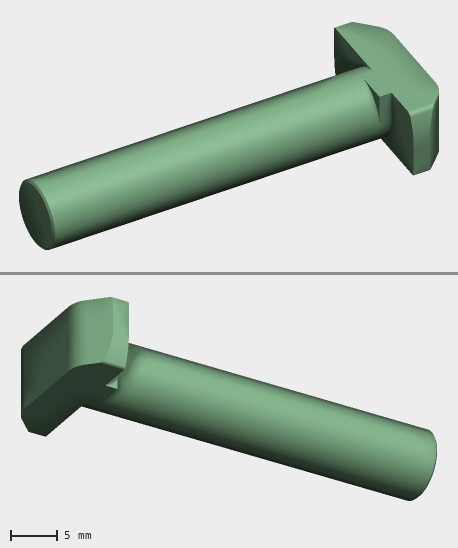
import cadquery as cq
import math

total_length = 46.5
head_width = 18.0
shaft_diameter = 8.0
head_thickness = 5.0
side_height = 2.0
shoulder_radius = 3.0
neck_length = 1.5
end_chamfer = 0.25
square_corner_radius = 0.25
right_swept_radius = 0.7
left_swept_radius = 0.35
left_arc_drop = 0.15

half_width = head_width / 2
shaft_radius = shaft_diameter / 2
shaft_length = total_length - head_thickness


def swept_arc(side):
    """Start, middle and end points of the swept corner on one side (1: +X+Z, -1: -X-Z)."""
    arc_rise = shaft_radius - (left_arc_drop if side < 0 else 0)
    start_z = side * (shaft_radius - arc_rise)
    end_angle = math.asin(arc_rise / half_width)
    return [
        (side * half_width * math.cos(angle), start_z + side * half_width * math.sin(angle))
        for angle in (0, end_angle / 2, end_angle)
    ]


def make_swept_block():
    """Head blank: two opposite corners follow a circle around the shaft,
    so that the head can turn inside its slot."""
    right_start, right_middle, right_end = swept_arc(1)
    left_start, left_middle, left_end = swept_arc(-1)
    left_square = (-half_width, shaft_radius)
    right_square = (half_width, -shaft_radius)
    block = (
        cq.Workplane("XZ")
        .moveTo(*right_start)
        .threePointArc(right_middle, right_end)
        .lineTo(*left_square)
        .lineTo(*left_start)
        .threePointArc(left_middle, left_end)
        .lineTo(*right_square)
        .close()
        .extrude(-head_thickness)
    )
    rounded_corners = (
        (right_end, right_swept_radius),
        (left_end, left_swept_radius),
        (left_square, square_corner_radius),
        (right_square, square_corner_radius),
    )
    for (x, z), radius in rounded_corners:
        edge_point = (x, head_thickness / 2, z)
        block = block.edges(cq.selectors.NearestToPointSelector(edge_point)).fillet(radius)
    return block


def make_crown_envelope():
    """Prism through Z with 45 degree flanks and rounded shoulders."""
    crown_half_width = half_width - (head_thickness - side_height)
    return (
        cq.Workplane("XY")
        .workplane(offset=-shaft_radius)
        .polyline([
            (-half_width, 0),
            (half_width, 0),
            (half_width, side_height),
            (crown_half_width, head_thickness),
            (-crown_half_width, head_thickness),
            (-half_width, side_height),
        ])
        .close()
        .extrude(shaft_diameter)
        .edges("|Z and >Y")
        .fillet(shoulder_radius)
    )


def make_neck_quadrant(side):
    """Square quadrant beside the shaft: +X+Z for side 1, -X-Z for side -1."""
    return (
        cq.Workplane("XY")
        .box(shaft_radius, neck_length, shaft_radius)
        .translate((side * shaft_radius / 2, -neck_length / 2, side * shaft_radius / 2))
    )


def make_shaft():
    return (
        cq.Workplane("XZ")
        .circle(shaft_radius)
        .extrude(shaft_length)
        .faces("<Y")
        .chamfer(end_chamfer)
    )


head = make_swept_block().intersect(make_crown_envelope())
result = head.union(make_shaft())
for quadrant_side in (1, -1):
    result = result.union(make_neck_quadrant(quadrant_side))